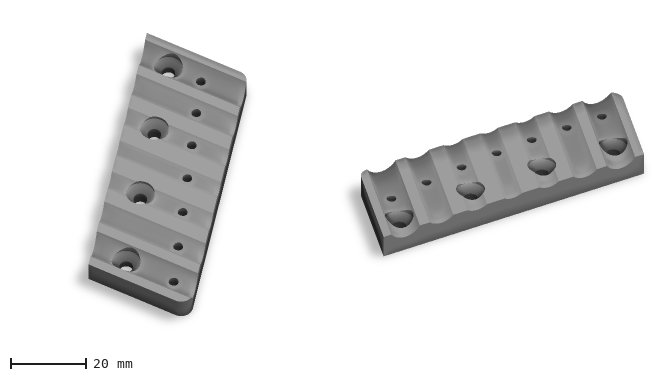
import cadquery as cq
import math

length = 75.69
thickness = 6.35
side_shift = 22.04
edge_width = 30.36
corner_radius = 3.175

groove_count = 7
groove_pitch = 10.43
first_groove_offset = 6.38
groove_radius = 5.0
middle_groove_depth = 0.71
end_groove_depth = 2.18

pin_diameter = 2.6
first_pin_x = 19.5
pin_step_x = 4.09

screw_diameter = 3.65
head_diameter = 7.65
cone_angle = 90.0
first_screw_x = 9.8
screw_step_x = 3.335
screw_every = 2

middle_groove = groove_count // 2


def groove_y(index):
    return length - first_groove_offset - index * groove_pitch


def groove_depth(index):
    """Depth grows with the square of the distance from the middle groove."""
    share = ((index - middle_groove) / middle_groove) ** 2
    return middle_groove_depth + share * (end_groove_depth - middle_groove_depth)


def make_plate():
    outline = [
        (0, length),
        (side_shift, 0),
        (side_shift + edge_width, 0),
        (edge_width, length),
    ]
    plate = cq.Workplane("XY").polyline(outline).close().extrude(thickness)
    slanted_side_normal = cq.Vector(length, side_shift, 0)
    right_side = cq.selectors.DirectionMinMaxSelector(slanted_side_normal, True)
    right_corners = plate.edges("|Z").edges(right_side)
    return right_corners.fillet(corner_radius)


def make_groove_cutter(index):
    axis_z = thickness - groove_depth(index) + groove_radius
    return (
        cq.Workplane("YZ")
        .center(groove_y(index), axis_z)
        .circle(groove_radius)
        .extrude(side_shift + edge_width)
    )


def make_pin_cutter(index):
    return (
        cq.Workplane("XY")
        .center(first_pin_x + index * pin_step_x, groove_y(index))
        .circle(pin_diameter / 2)
        .extrude(thickness)
    )


def make_screw_cutter(index):
    """Straight shank and a cone seat that opens out at the groove floor, clear above it."""
    head_top_z = thickness - groove_depth(index)
    shank_radius = screw_diameter / 2
    head_radius = head_diameter / 2
    cone_height = (head_radius - shank_radius) / math.tan(math.radians(cone_angle / 2))
    profile = [
        (0, 0),
        (shank_radius, 0),
        (shank_radius, head_top_z - cone_height),
        (head_radius, head_top_z),
        (head_radius, thickness),
        (0, thickness),
    ]
    cutter = cq.Workplane("YZ").polyline(profile).close().revolve(360, (0, 0), (0, 1))
    return cutter.translate((first_screw_x + index * screw_step_x, groove_y(index), 0))


result = make_plate()
for groove in range(groove_count):
    result = result.cut(make_groove_cutter(groove))
    result = result.cut(make_pin_cutter(groove))
for groove in range(0, groove_count, screw_every):
    result = result.cut(make_screw_cutter(groove))